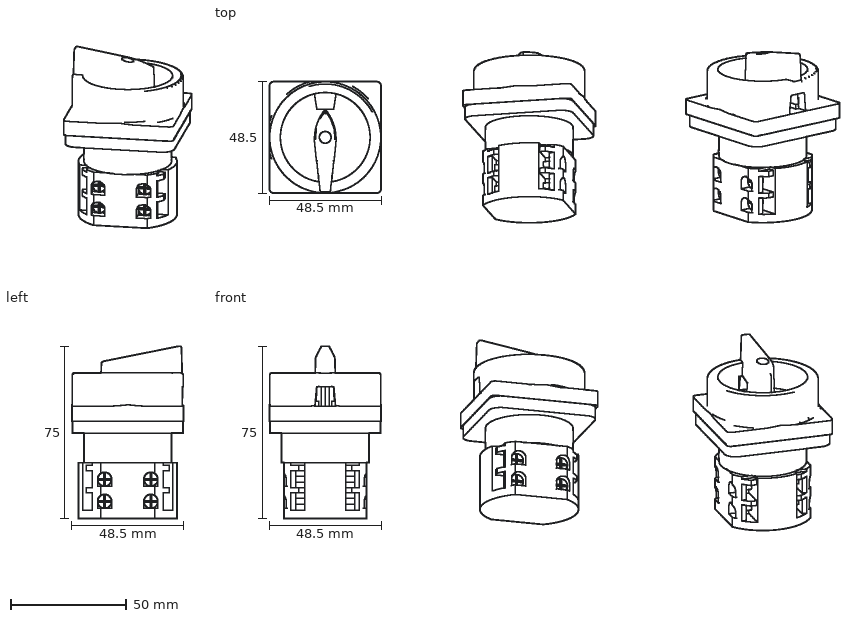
import cadquery as cq
import math

body_top = 24.3
neck_top = 37.1
lower_plate_top = 42.4
plate_top = 48.9
bore_floor = 50.9
window_top = 57.3
ring_top = 63.3
total_height = 75.0

plate_side = 48.5
plate_corner = 1.95
lower_plate_side = 48.1
lower_plate_corner = 5.25
neck_radius = 19.05

body_radius = 21.45
body_half_width = 17.9

stage_pitch = 9.6
lower_screw_z = 7.5
screw_z_levels = [lower_screw_z, lower_screw_z + stage_pitch]
screw_y = 10.05
screw_recess_radius = 3.1
screw_recess_floor = 13.5
screw_head_radius = 3.0
screw_head_height = 0.75
screw_slot_width = 0.7
screw_slot_depth = 0.45
screw_shaft_radius = 1.3

pocket_inner_x = 9.0
pocket_step_x = 12.75
pocket_outer_x = 15.0
pocket_shallow_y = 15.45
pocket_deep_y = 7.9
pocket_bottom = 3.75
tab_outer_y = 18.1
tab_levels = [(11.2, 13.35), (20.8, 23.2)]

ring_radius = 24.15
ring_edge_radius = 1.0
ring_base_radius = 1.0
bore_radius = 19.5

index_inner_y = 12.3
index_inner_half = 3.7
index_outer_y = 19.5
index_outer_half = 4.8

window_base_half = 4.5
window_top_half = 3.75
window_corner = 0.9
window_inner_y = -19.05
chamber_inner_y = -10.1
chamber_floor_half = 2.9
wedge_half = 1.65
wedge_length = 3.0

knob_half = 4.7
knob_nose_y = 12.15
knob_shoulder_y = -0.75
knob_end_y = -24.0
knob_side_angle = 5.6
knob_taper = 1.5
knob_shoulder_radius = 12.0
knob_end_radius = 0.4
knob_edge_radius = 1.0
knob_top_slope = 0.2
knob_peak_y = -22.35
knob_hole_radius = 2.55
knob_hole_floor = 66.0

clearance = 7.5


def box(x_range, y_range, z_range):
    """Axis-aligned box given by its limits."""
    sizes = [high - low for low, high in (x_range, y_range, z_range)]
    corner = (x_range[0], y_range[0], z_range[0])
    return cq.Workplane("XY").box(*sizes, centered=False).translate(corner)


def disc(radius, bottom, top):
    """Vertical cylinder on the main axis."""
    return cq.Workplane("XY").workplane(offset=bottom).circle(radius).extrude(top - bottom)


def square_plate(side, corner, bottom, top):
    """Square plate with rounded vertical corners."""
    plate = cq.Workplane("XY").workplane(offset=bottom).rect(side, side).extrude(top - bottom)
    return plate.edges("|Z").fillet(corner)


def at_four_corners(shape):
    """Copies of a shape from the +X +Y corner mirrored into all four corners."""
    pair = shape.union(shape.mirror("YZ"))
    return pair.union(pair.mirror("XZ"))


def wiring_pocket():
    """Corner pocket, stepped in depth and bridged by two tabs."""
    outside = body_radius + clearance
    x_range = (pocket_inner_x, pocket_outer_x)
    pocket = box(x_range, (pocket_shallow_y, outside), (pocket_bottom, body_top))
    (lower_tab_bottom, lower_tab_top), (upper_tab_bottom, _) = tab_levels
    for z_range in ((pocket_bottom, lower_tab_bottom), (lower_tab_top, upper_tab_bottom)):
        deep_x = (pocket_inner_x, pocket_step_x)
        pocket = pocket.union(box(deep_x, (pocket_deep_y, outside), z_range))
    for z_range in tab_levels:
        pocket = pocket.cut(box(x_range, (pocket_shallow_y, tab_outer_y), z_range))
        round_start_x = math.sqrt(body_radius ** 2 - tab_outer_y ** 2)
        pocket = pocket.cut(box((round_start_x, pocket_outer_x), (pocket_shallow_y, outside), z_range))
    return pocket


def along_x(x_start):
    """Plane facing +X with local axes along Y and Z."""
    return cq.Workplane("YZ").workplane(offset=x_start)


def screw_recess(screw_z):
    """Recess with a round top and a flat bottom, open to the side flat."""
    depth = body_half_width + clearance - screw_recess_floor
    r = screw_recess_radius
    outline = (
        along_x(screw_recess_floor)
        .moveTo(screw_y - r, screw_z - r)
        .lineTo(screw_y + r, screw_z - r)
        .lineTo(screw_y + r, screw_z)
        .threePointArc((screw_y, screw_z + r), (screw_y - r, screw_z))
        .close()
    )
    return outline.extrude(depth)


def screw(screw_z):
    """Cross-slotted screw head with a shaft that crosses the deep pocket."""
    place = (screw_y, screw_z)
    head = along_x(screw_recess_floor).center(*place).circle(screw_head_radius).extrude(screw_head_height)
    slot_floor = screw_recess_floor + screw_head_height - screw_slot_depth
    slot_length = 2 * screw_head_radius
    for width, height in ((slot_length, screw_slot_width), (screw_slot_width, slot_length)):
        head = head.cut(along_x(slot_floor).center(*place).rect(width, height).extrude(screw_slot_depth))
    shaft_length = screw_recess_floor - pocket_inner_x
    shaft = along_x(pocket_inner_x).center(*place).circle(screw_shaft_radius).extrude(shaft_length)
    return head.union(shaft)


def switch_body():
    body = disc(body_radius, 0, body_top)
    width_limits = (-body_half_width, body_half_width)
    body = body.intersect(box(width_limits, (-body_radius, body_radius), (0, body_top)))
    body = body.cut(at_four_corners(wiring_pocket()))
    for screw_z in screw_z_levels:
        body = body.cut(at_four_corners(screw_recess(screw_z)))
        body = body.union(at_four_corners(screw(screw_z)))
    return body


def ring():
    """Turned ring with a floor, a rounded rim and a flared foot trimmed to the plate."""
    foot_radius = ring_radius + ring_base_radius
    foot_top = plate_top + ring_base_radius
    arc_inset = 1 - math.sqrt(0.5)
    profile = (
        cq.Workplane("XZ")
        .moveTo(0, plate_top)
        .lineTo(foot_radius, plate_top)
        .threePointArc(
            (ring_radius + arc_inset * ring_base_radius, plate_top + arc_inset * ring_base_radius),
            (ring_radius, foot_top),
        )
        .lineTo(ring_radius, ring_top - ring_edge_radius)
        .threePointArc(
            (ring_radius - arc_inset * ring_edge_radius, ring_top - arc_inset * ring_edge_radius),
            (ring_radius - ring_edge_radius, ring_top),
        )
        .lineTo(bore_radius, ring_top)
        .lineTo(bore_radius, bore_floor)
        .lineTo(0, bore_floor)
        .close()
    )
    trim = square_plate(plate_side, plate_corner, plate_top, ring_top)
    return profile.revolve(360, (0, 0, 0), (0, 1, 0)).intersect(trim)


def index_recess():
    """Trapezoid recess in the bore floor, ending at the bore wall."""
    outline = [
        (-index_inner_half, index_inner_y),
        (index_inner_half, index_inner_y),
        (index_outer_half, index_outer_y),
        (-index_outer_half, index_outer_y),
    ]
    depth = bore_floor - plate_top
    recess = cq.Workplane("XY").workplane(offset=plate_top).polyline(outline).close().extrude(depth)
    return recess.intersect(disc(bore_radius, plate_top, bore_floor))


def knob():
    """Pointed, drafted grip with a sloping top and softened edges."""
    nose_length = knob_nose_y - knob_shoulder_y
    arc_radius = (knob_half ** 2 + nose_length ** 2) / (2 * knob_half)
    half_angle = math.asin(nose_length / arc_radius) / 2
    arc_mid_x = knob_half - arc_radius * (1 - math.cos(half_angle))
    arc_mid_y = knob_shoulder_y + arc_radius * math.sin(half_angle)
    lean = math.radians(knob_side_angle)
    shoulder_mid_x = knob_half - knob_shoulder_radius * (1 - math.cos(lean / 2))
    shoulder_mid_y = knob_shoulder_y - knob_shoulder_radius * math.sin(lean / 2)
    side_x = knob_half - knob_shoulder_radius * (1 - math.cos(lean))
    side_y = knob_shoulder_y - knob_shoulder_radius * math.sin(lean)
    end_half = side_x - (side_y - knob_end_y) * math.tan(lean)
    blank_height = total_height + clearance - bore_floor
    grip = (
        cq.Workplane("XY")
        .workplane(offset=bore_floor)
        .moveTo(0, knob_nose_y)
        .threePointArc((arc_mid_x, arc_mid_y), (knob_half, knob_shoulder_y))
        .threePointArc((shoulder_mid_x, shoulder_mid_y), (side_x, side_y))
        .lineTo(end_half, knob_end_y)
        .lineTo(-end_half, knob_end_y)
        .lineTo(-side_x, side_y)
        .threePointArc((-shoulder_mid_x, shoulder_mid_y), (-knob_half, knob_shoulder_y))
        .threePointArc((-arc_mid_x, arc_mid_y), (0, knob_nose_y))
        .close()
        .extrude(blank_height, taper=knob_taper)
    )
    back_y = knob_nose_y + clearance
    front_y = knob_end_y - clearance

    def top_height(y):
        return total_height - knob_top_slope * (y - knob_peak_y)

    above = (
        cq.Workplane("YZ")
        .moveTo(back_y, top_height(back_y))
        .lineTo(front_y, top_height(front_y))
        .lineTo(front_y, total_height + 2 * clearance)
        .lineTo(back_y, total_height + 2 * clearance)
        .close()
        .extrude(clearance, both=True)
    )
    grip = grip.cut(above)
    grip = grip.faces("<Y").edges("not |X").fillet(knob_end_radius)
    grip = grip.faces(">Z").edges().fillet(knob_edge_radius)
    return grip.cut(disc(knob_hole_radius, knob_hole_floor, total_height))


def padlock_window():
    """Tapering window through the front of the ring, rounded at its upper corners."""
    outline = [
        (-window_base_half, plate_top),
        (window_base_half, plate_top),
        (window_top_half, window_top),
        (-window_top_half, window_top),
    ]
    depth = ring_radius + clearance + window_inner_y
    window = cq.Workplane("XZ", origin=(0, window_inner_y, 0)).polyline(outline).close().extrude(depth)
    return window.faces(">Z").edges("|Y").fillet(window_corner)


def padlock_chamber():
    """Space under the knob behind the window, with a wedge left standing at its end."""
    y_range = (window_inner_y, chamber_inner_y)
    floor_limits = (-chamber_floor_half, chamber_floor_half)
    upper_limits = (-window_base_half, window_base_half)
    chamber = box(floor_limits, y_range, (plate_top, bore_floor))
    chamber = chamber.union(box(upper_limits, y_range, (bore_floor, window_top)))
    wedge_outline = [
        (-wedge_half, chamber_inner_y),
        (0, chamber_inner_y - wedge_length),
        (wedge_half, chamber_inner_y),
    ]
    wedge = cq.Workplane("XY").workplane(offset=plate_top).polyline(wedge_outline).close()
    return chamber.cut(wedge.extrude(window_top - plate_top))


result = (
    switch_body()
    .union(disc(neck_radius, body_top, neck_top))
    .union(square_plate(lower_plate_side, lower_plate_corner, neck_top, lower_plate_top))
    .union(square_plate(plate_side, plate_corner, lower_plate_top, plate_top))
    .union(ring().cut(index_recess()).union(knob()).cut(padlock_window()).cut(padlock_chamber()))
)